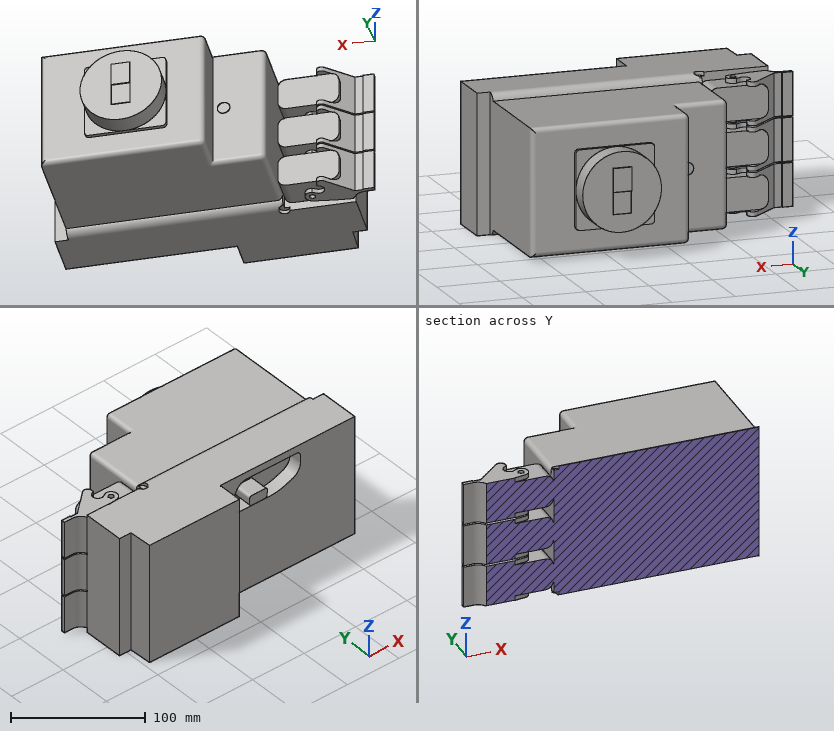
import cadquery as cq
import math


overall_length = 245.69
overall_depth = 169.38
width = 110.0
lever_tip_x = -15.9
base_right = overall_length + lever_tip_x
base_back = 58.2
slab_front = 22.0
shoulder_y = 20.7
block_left = 11.1
block_left_draft = 0.7
block_right = 99.0

recess_left, recess_right = 113.2, 177.0
recess_bottom, recess_top = 76.1, 103.4
recess_depth = 12.0
recess_small_radius = 4.0
recess_large_radius = 12.0
recess_side_end_z = 92.3
recess_corner_middle = (174.2, 85.4)
recess_ramp_top = (168.1, 81.3)
recess_ramp_bottom = (163.9, 79.6)
recess_sweep_middle = (155.6, 77.0)
recess_sweep_end_x = 147.0
tab_left, tab_right = 123.6, 141.1
tab_bottom, tab_top = 80.9, 90.1
tab_taper = 0.6
tab_front = 17.4
tab_corner_radius = 2.3

cover_side_gap = 5.2
cover_left, cover_step, cover_right = 54.5, 94.6, 219.6
cover_shelf = 121.9
cover_back = 150.0
cover_round = 3.8
bead_height = 7.8
bead_relief_radius = 4.2
bead_relief_depth = 3.0
bead_relief_offset = 0.9

knob_diameter = 62.2
knob_x, knob_z = 154.4, width / 2
knob_back = 167.7
collar_height = 2.8
collar_corner_radius = 3.0
pointer_width = 14.4
pointer_base_length = 33.6
pointer_base_height = 0.7
pointer_offset = 9.7
pointer_length = 18.5
label_diameter = 9.6
label_x = 86.4
label_height = 0.5

terminal_count = 3
terminal_pitch = 35.0
terminal_left = 7.9
terminal_width = 26.5
terminal_back = 81.1
terminal_round = 6.6
lever_width = 33.8
pivot = (31.1, 67.4)
eye_radius = 5.6
eye_lean = 10.0
pivot_hole_radius = 2.2
finger_front, finger_back = 65.3, 68.6
finger_root_x = -7.8
finger_neck_start = (-7.3, 67.8)
finger_neck_end = (-1.2, 67.8)
slope_top = (18.3, 85.2)
hook_tip = (22.6, 85.8)
hook_inner_top = (24.7, 82.6)
hook_inner_bottom = (24.7, 79.9)
throat_middle = (20.3, 74.5)
throat_end = (26.2, 70.7)
belly = (15.3, 59.4)
heel_foot_x = 2.0
finger_curve_middle = (-3.6, 64.2)
heel = (-0.9, 62.0)


def prism(outline, z_start, height):
    """Extrude an XY outline along +Z."""
    return outline.extrude(height).translate((0, 0, z_start))


def make_base():
    """Slab with a deeper block at the left; the left side of the block has a slight draft."""
    outline = cq.Workplane("XY").polyline([
        (0, shoulder_y),
        (block_left, shoulder_y),
        (block_left + block_left_draft, 0),
        (block_right, 0),
        (block_right, slab_front),
        (base_right, slab_front),
        (base_right, base_back),
        (0, base_back),
    ]).close()
    return outline.extrude(width)


def make_recess():
    large, small = recess_large_radius, recess_small_radius
    diagonal = 1 - math.sqrt(0.5)
    return (
        cq.Workplane("XZ", origin=(0, slab_front + recess_depth, 0))
        .moveTo(recess_left + large, recess_top)
        .lineTo(recess_right - small, recess_top)
        .threePointArc(
            (recess_right - small * diagonal, recess_top - small * diagonal),
            (recess_right, recess_top - small),
        )
        .lineTo(recess_right, recess_side_end_z)
        .threePointArc(recess_corner_middle, recess_ramp_top)
        .lineTo(*recess_ramp_bottom)
        .threePointArc(recess_sweep_middle, (recess_sweep_end_x, recess_bottom))
        .lineTo(recess_left + small, recess_bottom)
        .threePointArc(
            (recess_left + small * diagonal, recess_bottom + small * diagonal),
            (recess_left, recess_bottom + small),
        )
        .lineTo(recess_left, recess_top - large)
        .threePointArc(
            (recess_left + large * diagonal, recess_top - large * diagonal),
            (recess_left + large, recess_top),
        )
        .close()
        .extrude(recess_depth)
    )


def make_tab():
    floor_y = slab_front + recess_depth
    outline = cq.Workplane("XZ", origin=(0, floor_y, 0)).polyline([
        (tab_left, tab_bottom),
        (tab_right - tab_taper, tab_bottom),
        (tab_right, tab_top),
        (tab_left, tab_top),
    ]).close()
    return outline.extrude(floor_y - tab_front).edges("|Y").fillet(tab_corner_radius)


def make_bead():
    """Rounded bead along both sides of the cover foot, relieved at its left end."""
    ridge_y = base_back + bead_height
    mid = math.sqrt(0.5)
    high_z = width - bead_height
    return (
        cq.Workplane("YZ", origin=(cover_left, 0, 0))
        .moveTo(base_back, bead_height)
        .lineTo(base_back, 0)
        .threePointArc((base_back + bead_height * mid, bead_height * (1 - mid)), (ridge_y, bead_height))
        .lineTo(ridge_y, high_z)
        .threePointArc((base_back + bead_height * mid, high_z + bead_height * mid), (base_back, width))
        .close()
        .extrude(cover_right - cover_left)
    )


def make_bead_reliefs():
    center = (cover_left, base_back + bead_relief_offset)
    relief = cq.Workplane("XY").center(*center).circle(bead_relief_radius).extrude(bead_relief_depth)
    return relief.union(relief.translate((0, 0, width - bead_relief_depth)))


def cover_prism():
    outline = cq.Workplane("XY").polyline([
        (cover_left, base_back),
        (cover_right, base_back),
        (cover_right, cover_back),
        (cover_step, cover_back),
        (cover_step, cover_shelf),
        (cover_left, cover_shelf),
    ]).close()
    return prism(outline, cover_side_gap, width - 2 * cover_side_gap)


def round_corner(body, x, y):
    """Round the edge parallel to Z that passes through (x, y)."""
    return body.edges(cq.selectors.NearestToPointSelector((x, y, width / 2))).fillet(cover_round)


def make_step_corner():
    """Quarter-turn rounding of the cover sides around the inside corner of the step."""
    reach = 1.5 * cover_round
    face = width / 2 - cover_side_gap
    tangent = face - cover_round
    near = cover_round * (1 - math.sqrt(0.5))
    return (
        cq.Workplane("XZ", origin=(cover_step, cover_shelf, width / 2))
        .moveTo(0, -tangent)
        .lineTo(0, tangent)
        .threePointArc((near, face - near), (cover_round, face))
        .lineTo(reach, face)
        .lineTo(reach, -face)
        .lineTo(cover_round, -face)
        .threePointArc((near, near - face), (0, -tangent))
        .close()
        .revolve(90, (0, 0), (0, -1))
    )


def make_cover():
    cover = round_corner(cover_prism(), cover_left, cover_shelf)
    cover = round_corner(cover, cover_step, cover_back)
    cover = cover.faces("<Z or >Z").edges("not(>X or <Y)").fillet(cover_round)
    cover = cover.union(make_step_corner())
    return cover.intersect(round_corner(cover_prism(), cover_right, cover_back))


def make_knob():
    def pad(y_start):
        return cq.Workplane("XZ", origin=(knob_x, y_start, knob_z))

    collar = (
        pad(cover_back).rect(knob_diameter, knob_diameter).extrude(-collar_height)
        .edges("|Y").fillet(collar_corner_radius)
    )
    grip_start = cover_back + collar_height
    grip = pad(grip_start).circle(knob_diameter / 2).extrude(grip_start - knob_back)
    pointer_base = pad(knob_back).rect(pointer_width, pointer_base_length).extrude(-pointer_base_height)
    pointer = (
        pad(knob_back).center(0, pointer_offset).rect(pointer_width, pointer_length)
        .extrude(knob_back - overall_depth)
    )
    return collar.union(grip).union(pointer_base).union(pointer)


def make_label():
    disc = cq.Workplane("XZ", origin=(label_x, cover_shelf, width / 2))
    return disc.circle(label_diameter / 2).extrude(-label_height)


def make_terminal(z_center, back, rounded_edges):
    """Terminal body standing on the base, with rounded upright edges."""
    length = cover_left - terminal_left
    body = cq.Workplane("XY").box(length, back - base_back, terminal_width)
    body = body.edges(rounded_edges).fillet(terminal_round)
    return body.translate((terminal_left + length / 2, (base_back + back) / 2, z_center))


def make_lever(z_center):
    """Hooked lever that straddles its terminal and turns on two pivot ears."""
    pivot_x, pivot_y = pivot
    lean = math.radians(eye_lean)
    eye_top = (pivot_x - eye_radius * math.sin(lean), pivot_y + eye_radius * math.cos(lean))
    eye_bottom = (pivot_x + eye_radius * math.sin(lean), pivot_y - eye_radius * math.cos(lean))
    outline = (
        cq.Workplane("XY")
        .moveTo(lever_tip_x, finger_front)
        .lineTo(lever_tip_x, finger_back)
        .lineTo(finger_root_x, finger_back)
        .lineTo(*finger_neck_start)
        .lineTo(*finger_neck_end)
        .lineTo(*slope_top)
        .threePointArc(hook_tip, hook_inner_top)
        .lineTo(*hook_inner_bottom)
        .threePointArc(throat_middle, throat_end)
        .lineTo(*eye_top)
        .threePointArc((pivot_x + eye_radius, pivot_y), eye_bottom)
        .lineTo(*belly)
        .lineTo(heel_foot_x, base_back)
        .lineTo(*heel)
        .threePointArc(finger_curve_middle, (finger_root_x, finger_front))
        .close()
    )
    lever = prism(outline, z_center - lever_width / 2, lever_width)
    window = make_terminal(z_center, overall_depth, "|Y and <X")
    pins = cq.Workplane("XY").center(*pivot).circle(pivot_hole_radius).extrude(width)
    return lever.cut(window).cut(pins)


base = make_base().cut(make_recess()).union(make_tab())
result = base.union(make_bead()).cut(make_bead_reliefs()).union(make_cover())
result = result.union(make_knob()).union(make_label())
for index in range(terminal_count):
    offset = index - (terminal_count - 1) / 2
    terminal_z = width / 2 + offset * terminal_pitch
    result = result.union(make_terminal(terminal_z, terminal_back, "|Y"))
    result = result.union(make_lever(terminal_z))